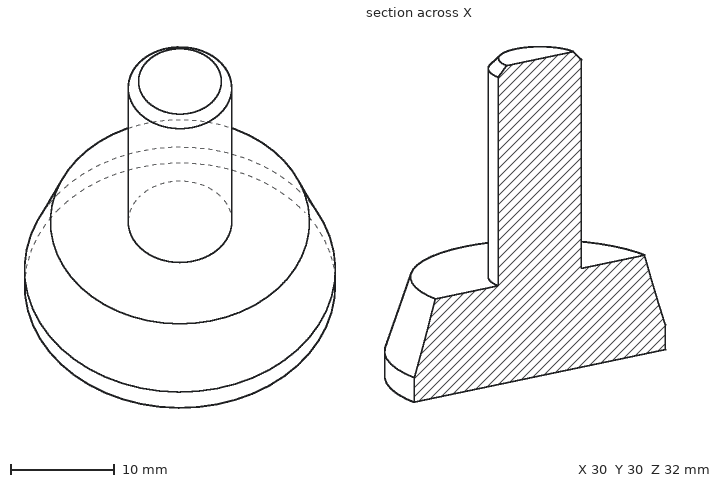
import cadquery as cq

foot_diameter = 30.0
foot_top_diameter = 25.0
foot_height = 10.0
rim_height = 2.5

stud_diameter = 10.0
stud_length = 22.0
stud_chamfer = 1.0


def make_foot():
    """Round foot: a short cylindrical rim below a tapered flank."""
    return (
        cq.Workplane("XZ")
        .lineTo(foot_diameter / 2, 0)
        .lineTo(foot_diameter / 2, rim_height)
        .lineTo(foot_top_diameter / 2, foot_height)
        .lineTo(0, foot_height)
        .close()
        .revolve(360, (0, 0, 0), (0, 1, 0))
    )


def make_stud():
    """Plain stud standing on the foot, chamfered at its free end."""
    return (
        cq.Workplane("XY")
        .workplane(offset=foot_height)
        .circle(stud_diameter / 2)
        .extrude(stud_length)
        .faces(">Z")
        .chamfer(stud_chamfer)
    )


result = make_foot().union(make_stud())